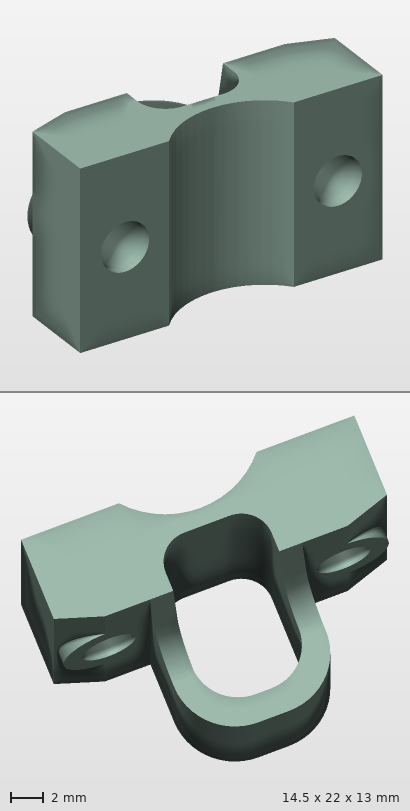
import cadquery as cq
import math

length = 22.0
depth = 14.5
height = 13.0

block_depth = 6.5
block_front = depth - block_depth
bevel_depth = 1.0
bevel_width = 3.0

loop_width = 10.0
loop_radius = 4.0
loop_height = 7.0
opening_front = 1.75
opening_back = 11.26
opening_width = 7.0
opening_front_radius = 3.0
opening_back_radius = 2.0

web_radius = 3.0
web_start = 4.33

relief_radius = 5.95
relief_depth = 2.11

hole_diameter = 3.5
hole_spacing = 15.49
seat_diameter = 5.98


def make_block():
    half = length / 2
    return (
        cq.Workplane("XY")
        .moveTo(depth, -half)
        .lineTo(block_front + bevel_depth, -half)
        .lineTo(block_front, -half + bevel_width)
        .lineTo(block_front, half - bevel_width)
        .lineTo(block_front + bevel_depth, half)
        .lineTo(depth, half)
        .close()
        .extrude(height)
    )


def make_loop():
    """Rounded loop whose side walls sweep up to the top of the block."""
    body = (
        cq.Workplane("XY")
        .box(depth - relief_depth, loop_width, height, centered=(False, True, False))
        .edges("|Z and <X")
        .fillet(loop_radius)
    )
    center_x = web_start
    center_z = loop_height + web_radius
    run = block_front - center_x
    rise = height - center_z
    tangent_angle = math.atan2(rise, run) - math.acos(web_radius / math.hypot(run, rise))
    middle_angle = (tangent_angle - math.pi / 2) / 2

    def arc_point(angle):
        return (
            center_x + web_radius * math.cos(angle),
            center_z + web_radius * math.sin(angle),
        )

    side = (
        cq.Workplane("XZ")
        .moveTo(0, 0)
        .lineTo(0, loop_height)
        .lineTo(web_start, loop_height)
        .threePointArc(arc_point(middle_angle), arc_point(tangent_angle))
        .lineTo(block_front, height)
        .lineTo(depth, height)
        .lineTo(depth, 0)
        .close()
        .extrude(loop_width / 2, both=True)
    )
    return body.intersect(side)


def make_opening():
    return (
        cq.Workplane("XY")
        .box(opening_back - opening_front, opening_width, height, centered=(False, True, False))
        .edges("|Z and <X")
        .fillet(opening_front_radius)
        .edges("|Z and >X")
        .fillet(opening_back_radius)
        .translate((opening_front, 0, 0))
    )


def make_relief():
    return (
        cq.Workplane("XY")
        .center(depth - relief_depth + relief_radius, 0)
        .circle(relief_radius)
        .extrude(height)
    )


def make_cylinders(diameter):
    """Pair of cylinders along X at the screw positions, spanning the block depth."""
    return (
        cq.Workplane("YZ", origin=(block_front, 0, height / 2))
        .pushPoints([(-hole_spacing / 2, 0), (hole_spacing / 2, 0)])
        .circle(diameter / 2)
        .extrude(block_depth)
    )


result = (
    make_block()
    .union(make_loop())
    .union(make_cylinders(seat_diameter))
    .cut(make_opening())
    .cut(make_relief())
    .cut(make_cylinders(hole_diameter))
)